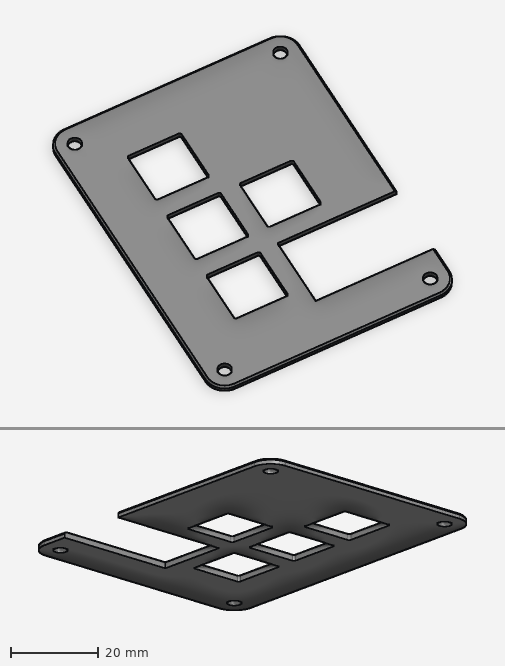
import cadquery as cq

LENGTH = 82.3
WIDTH = 63.8
THICKNESS = 1.5
CORNER_RADIUS = 5.0
EDGE_CHAMFER = 0.5

HOLE_DIAMETER = 3.4
HOLE_SPACING_X = LENGTH - 2 * CORNER_RADIUS
HOLE_SPACING_Y = WIDTH - 2 * CORNER_RADIUS

KEY_SIZE = 14.0
KEY_PITCH = 19.0
KEY_CORNER_RADIUS = 0.5
KEY_CENTER_X = -1.2
KEY_ROW_Y = -11.0
KEY_GRID_POSITIONS = [(-1, 0), (0, 0), (1, 0), (0, 1)]

NOTCH_LEFT = 10.7
NOTCH_WIDTH = 18.4
NOTCH_BOTTOM = 0.7
NOTCH_DEPTH = WIDTH / 2 - NOTCH_BOTTOM


def make_plate():
    """Rounded plate with its outer top edge chamfered."""
    plate = cq.Workplane("XY").box(LENGTH, WIDTH, THICKNESS, centered=(True, True, False))
    plate = plate.edges("|Z").fillet(CORNER_RADIUS)
    return plate.faces(">Z").edges().chamfer(EDGE_CHAMFER)


def make_screw_holes():
    return (
        cq.Workplane("XY")
        .rect(HOLE_SPACING_X, HOLE_SPACING_Y, forConstruction=True)
        .vertices()
        .circle(HOLE_DIAMETER / 2)
        .extrude(THICKNESS)
    )


def make_key_openings():
    centers = [
        (KEY_CENTER_X + column * KEY_PITCH, KEY_ROW_Y + row * KEY_PITCH)
        for column, row in KEY_GRID_POSITIONS
    ]
    openings = cq.Workplane("XY").pushPoints(centers).rect(KEY_SIZE, KEY_SIZE).extrude(THICKNESS)
    return openings.edges("|Z").fillet(KEY_CORNER_RADIUS)


def make_notch():
    return (
        cq.Workplane("XY")
        .moveTo(NOTCH_LEFT, NOTCH_BOTTOM)
        .rect(NOTCH_WIDTH, NOTCH_DEPTH, centered=False)
        .extrude(THICKNESS)
    )


result = make_plate().cut(make_screw_holes()).cut(make_key_openings()).cut(make_notch())